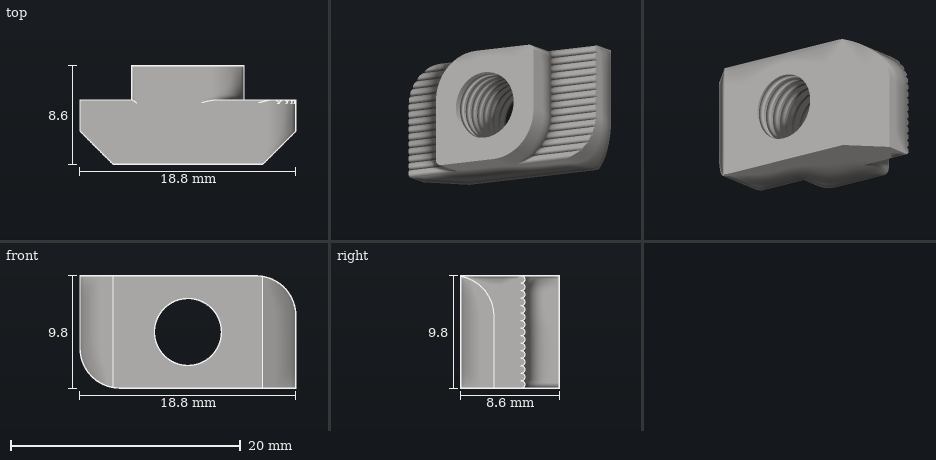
import cadquery as cq

length = 18.8
depth = 8.6
width = 9.8

stem_height = 2.99
stem_turning_radius = 4.0
stem_corner_radius = 0.5

body_thickness = depth - stem_height
body_corner_radius = 3.5
body_chamfer = 2.9

ridge_count = 15
ridge_pitch = width / ridge_count
ridge_radius = ridge_pitch / 2

hole_diameter = 5.8
thread_pitch = 1.0
groove_mouth = 0.7
groove_depth = 0.56
thread_start = 0.2
groove_count = int((depth - thread_start) / thread_pitch)

front_y = -depth / 2
shoulder_y = front_y + body_thickness
back_y = depth / 2


def rounded_block(block_length, start_y, end_y, main_radius, other_radius):
    """Block along Y; main radius at the -X-Z and +X+Z corners, other radius at the other two."""
    x = block_length / 2
    middle_y = (start_y + end_y) / 2
    block = cq.Workplane("XY").box(block_length, end_y - start_y, width)
    block = block.translate((0, middle_y, 0))
    for radius, side in ((main_radius, 1), (other_radius, -1)):
        if radius > 0:
            for end in (1, -1):
                corner = (end * x, middle_y, end * side * width / 2)
                block = block.edges(cq.NearestToPointSelector(corner)).fillet(radius)
    return block


def ridged_profile():
    """Body cross section with a row of half-round ridges on the shoulder side."""
    valley_y = shoulder_y - ridge_radius
    profile = cq.Workplane("YZ", origin=(-length / 2, 0, 0))
    profile = profile.moveTo(front_y, -width / 2).lineTo(valley_y, -width / 2)
    for ridge in range(ridge_count):
        start_z = -width / 2 + ridge * ridge_pitch
        profile = profile.threePointArc(
            (shoulder_y, start_z + ridge_radius),
            (valley_y, start_z + ridge_pitch),
        )
    return profile.lineTo(front_y, width / 2).close().extrude(length)


def chamfered_profile():
    """Body outline seen along Z, with both front ends cut away at 45 degrees."""
    half_length = length / 2
    half_front = half_length - body_chamfer
    chamfer_end_y = front_y + body_chamfer
    outline = [
        (-half_front, front_y),
        (half_front, front_y),
        (half_length, chamfer_end_y),
        (half_length, shoulder_y),
        (-half_length, shoulder_y),
        (-half_length, chamfer_end_y),
    ]
    return cq.Workplane("XY", origin=(0, 0, -width / 2)).polyline(outline).close().extrude(width)


def make_body():
    body = rounded_block(length, front_y, shoulder_y, body_corner_radius, 0)
    return body.intersect(chamfered_profile()).intersect(ridged_profile())


def make_stem():
    return rounded_block(width, front_y + body_chamfer, back_y, stem_turning_radius, stem_corner_radius)


def make_hole():
    """Solid of the threaded hole: a crest bore with evenly spaced V grooves around it."""
    radius = hole_diameter / 2
    profile = cq.Workplane("XY").moveTo(0, front_y).lineTo(radius, front_y)
    for groove in range(groove_count):
        start_y = front_y + thread_start + groove * thread_pitch
        profile = profile.lineTo(radius, start_y)
        profile = profile.lineTo(radius + groove_depth, start_y + groove_mouth / 2)
        profile = profile.lineTo(radius, start_y + groove_mouth)
    profile = profile.lineTo(radius, back_y).lineTo(0, back_y).close()
    return profile.revolve(360, (0, 0, 0), (0, 1, 0))


result = make_body().union(make_stem()).cut(make_hole())